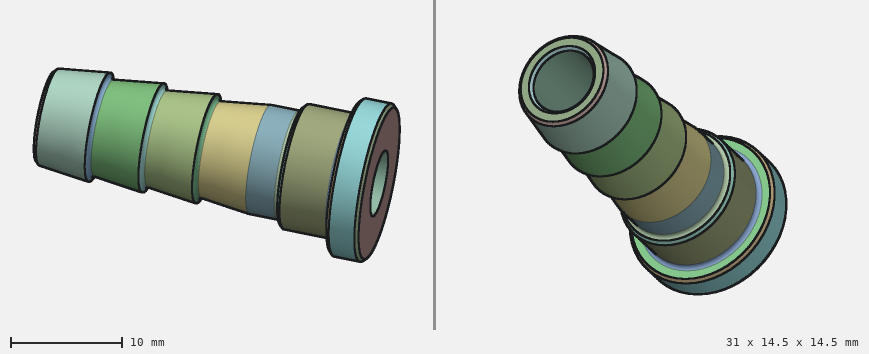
import cadquery as cq

total_length = 31.0
barb_count = 4
barb_pitch = 5.0
collar_start = 23.0
flange_start = 28.0

bore_diameter = 6.0
root_diameter = 8.9
barb_diameter = 10.0
collar_diameter = 11.5
flange_diameter = 14.5

edge_chamfer = 0.3
barb_fillet = 0.43
shoulder_fillet = 0.4

bore_radius = bore_diameter / 2
root_radius = root_diameter / 2
barb_radius = barb_diameter / 2
collar_radius = collar_diameter / 2
flange_radius = flange_diameter / 2
quarter_arc = 0.5 ** 0.5


def fillet_down(profile, face_x, floor_radius, fillet):
    """Go down a face looking toward +X and blend into the floor after it."""
    center_x = face_x + fillet
    center_r = floor_radius + fillet
    middle = (center_x - fillet * quarter_arc, center_r - fillet * quarter_arc)
    return profile.lineTo(face_x, center_r).threePointArc(middle, (center_x, floor_radius))


def fillet_up(profile, face_x, floor_radius, fillet):
    """Follow the floor and blend up into a face looking toward -X."""
    center_x = face_x - fillet
    center_r = floor_radius + fillet
    middle = (center_x + fillet * quarter_arc, center_r - fillet * quarter_arc)
    return profile.lineTo(center_x, floor_radius).threePointArc(middle, (face_x, center_r))


profile = (
    cq.Workplane("XY")
    .moveTo(edge_chamfer, bore_radius)
    .lineTo(0, bore_radius + edge_chamfer)
    .lineTo(0, root_radius - edge_chamfer)
    .lineTo(edge_chamfer, root_radius)
)

for barb in range(1, barb_count + 1):
    barb_end = barb * barb_pitch
    profile = profile.lineTo(barb_end, barb_radius)
    if barb < barb_count:
        profile = fillet_down(profile, barb_end, root_radius, barb_fillet)

profile = fillet_up(profile, collar_start, barb_radius, shoulder_fillet)
profile = (
    profile
    .lineTo(collar_start, collar_radius - edge_chamfer)
    .lineTo(collar_start + edge_chamfer, collar_radius)
)

profile = fillet_up(profile, flange_start, collar_radius, shoulder_fillet)
profile = (
    profile
    .lineTo(flange_start, flange_radius - edge_chamfer)
    .lineTo(flange_start + edge_chamfer, flange_radius)
    .lineTo(total_length - edge_chamfer, flange_radius)
    .lineTo(total_length, flange_radius - edge_chamfer)
    .lineTo(total_length, bore_radius)
    .close()
)

result = profile.revolve(360, (0, 0, 0), (1, 0, 0))